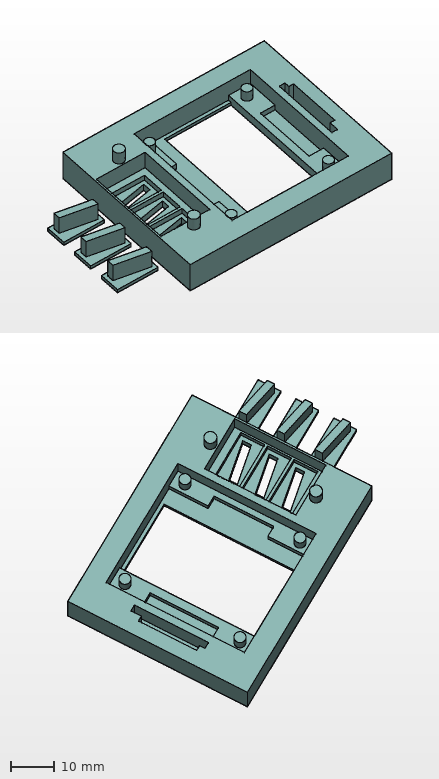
import cadquery as cq


OVERALL_DEPTH = 73.1

FRAME_WIDTH = 47.5
FRAME_DEPTH = 59.5
FRAME_HEIGHT = 8.5
PANEL_THICKNESS = 2.5

PIN_DIAMETER = 3.0
PIN_SPACING = 27.9
PIN_Y = 8.7
PIN_TOP = 12.0

DISPLAY_WIDTH = 36.55
DISPLAY_FRONT = 16.75
DISPLAY_REAR = 51.0
WINDOW_WIDTH = 34.65
WINDOW_FRONT = 25.0
WINDOW_BEVEL = 1.5
LEDGE_TOP = 4.0
FRONT_LEDGE_DEPTH = 4.3
REAR_LEDGE_DEPTH = 6.4
FRONT_NOTCH_WIDTH = 15.8
FRONT_NOTCH_DEPTH = 2.85
REAR_RECESS_WIDTH = 18.1
REAR_RECESS_DEPTH = 4.3

PEG_DIAMETER = 2.8
PEG_HEIGHT = 3.0
PEG_SPACING = 30.4
FRONT_PEG_Y = 18.85
REAR_PEG_Y = 47.6

CONNECTOR_WIDTH = 19.6
CONNECTOR_FRONT = 52.85
CONNECTOR_STEP = 54.5
CONNECTOR_REAR = 55.9
CONNECTOR_REAR_LEFT = -8.3
CONNECTOR_REAR_RIGHT = 7.0
CABLE_SLOT_WIDTH = 11.55
CABLE_SLOT_FRONT = 54.75
CABLE_SLOT_REAR = 55.7

KEY_COUNT = 3
KEY_MARGIN = 1.0
KEY_WIDTH = 6.0
KEY_LENGTH = 12.0
KEY_BASE_HEIGHT = 1.0
KEY_TOP = 6.0
BLADE_WIDTH = 2.0
KEY_SPACING = 10.0
KEY_ROW_X = 0.8
KEY_ROW_FRONT = FRAME_DEPTH - OVERALL_DEPTH

KEY_POCKET_X = 0.15
KEY_POCKET_WIDTH = 24.1
KEY_POCKET_FRONT = 0.5
KEY_POCKET_REAR = 14.9
KEY_CLEARANCE = 0.15
KEY_RECESS_SPACING = 7.0
KEY_RECESS_FRONT = 0.95
KEY_RECESS_FLOOR = 2.0
KEY_POCKET_FLOOR = 3.5


def block(x_middle, width, front, rear, bottom, top):
    """Box centred on x_middle, between the given Y and Z limits."""
    box = cq.Workplane("XY").box(width, rear - front, top - bottom, centered=(True, False, False))
    return box.translate((x_middle, front, bottom))


def posts(diameter, points, bottom, top):
    """Upright round posts at the given points."""
    base = cq.Workplane("XY").workplane(offset=bottom).pushPoints(points)
    return base.circle(diameter / 2).extrude(top - bottom)


def slanted_bar(x_middle, y_middle, width, span, length, slant, bottom, top):
    """Bar with a parallelogram outline; slant is +1 to lean right toward the rear, -1 to lean left."""
    half_span = slant * span / 2
    edge = slant * width
    outline = [
        (-half_span, -length / 2),
        (edge - half_span, -length / 2),
        (half_span, length / 2),
        (half_span - edge, length / 2),
    ]
    bar = cq.Workplane("XY").polyline(outline).close().extrude(top - bottom)
    return bar.translate((x_middle, y_middle, bottom))


def row_positions(middle, spacing):
    """X positions of a row with one place for each key."""
    return [middle + (i - (KEY_COUNT - 1) / 2) * spacing for i in range(KEY_COUNT)]


def window_flare(window_rear):
    """Tapered space that widens the window toward the underside."""
    width = WINDOW_WIDTH + 2 * WINDOW_BEVEL
    length = window_rear - WINDOW_FRONT + 2 * WINDOW_BEVEL
    flare = cq.Workplane("XY").rect(width, length).extrude(WINDOW_BEVEL, taper=45)
    return flare.translate((0, (WINDOW_FRONT + window_rear) / 2, 0))


def display_cutout():
    """Stepped pocket and window that leave the ledges standing."""
    front_ledge_rear = DISPLAY_FRONT + FRONT_LEDGE_DEPTH
    rear_ledge_front = DISPLAY_REAR - REAR_LEDGE_DEPTH
    notch_front = front_ledge_rear - FRONT_NOTCH_DEPTH
    recess_front = DISPLAY_REAR - REAR_RECESS_DEPTH

    pocket = block(0, DISPLAY_WIDTH, DISPLAY_FRONT, DISPLAY_REAR, LEDGE_TOP, FRAME_HEIGHT)
    floor = block(0, DISPLAY_WIDTH, front_ledge_rear, rear_ledge_front, PANEL_THICKNESS, LEDGE_TOP)
    window = block(0, WINDOW_WIDTH, WINDOW_FRONT, rear_ledge_front, 0, LEDGE_TOP)
    flare = window_flare(rear_ledge_front)
    notch = block(0, FRONT_NOTCH_WIDTH, notch_front, front_ledge_rear, PANEL_THICKNESS, LEDGE_TOP)
    recess = block(0, REAR_RECESS_WIDTH, recess_front, DISPLAY_REAR, PANEL_THICKNESS, LEDGE_TOP)
    return pocket.union(floor).union(window).union(flare).union(notch).union(recess)


def connector_cutout():
    """Two-step slot with a narrow opening through its floor."""
    rear_middle = (CONNECTOR_REAR_LEFT + CONNECTOR_REAR_RIGHT) / 2
    rear_width = CONNECTOR_REAR_RIGHT - CONNECTOR_REAR_LEFT
    wide = block(0, CONNECTOR_WIDTH, CONNECTOR_FRONT, CONNECTOR_STEP, PANEL_THICKNESS, FRAME_HEIGHT)
    narrow = block(rear_middle, rear_width, CONNECTOR_FRONT, CONNECTOR_REAR, PANEL_THICKNESS, FRAME_HEIGHT)
    opening = block(0, CABLE_SLOT_WIDTH, CABLE_SLOT_FRONT, CABLE_SLOT_REAR, 0, FRAME_HEIGHT)
    return wide.union(narrow).union(opening)


def key_cutout():
    """Key pocket with the key recesses and their through slots."""
    recess_width = KEY_WIDTH + 2 * KEY_CLEARANCE
    recess_length = KEY_LENGTH + 2 * KEY_CLEARANCE
    recess_rear = KEY_RECESS_FRONT + recess_length
    recess_y = KEY_RECESS_FRONT + recess_length / 2
    slot_width = BLADE_WIDTH + 2 * KEY_CLEARANCE
    slot_span = recess_width - 2 * KEY_MARGIN
    slot_length = recess_length - 2 * KEY_MARGIN

    cutout = block(
        KEY_POCKET_X, KEY_POCKET_WIDTH, KEY_POCKET_FRONT, KEY_POCKET_REAR, KEY_POCKET_FLOOR, FRAME_HEIGHT
    )
    for x in row_positions(KEY_POCKET_X, KEY_RECESS_SPACING):
        recess = block(x, recess_width, KEY_RECESS_FRONT, recess_rear, KEY_RECESS_FLOOR, KEY_POCKET_FLOOR)
        slot = slanted_bar(x, recess_y, slot_width, slot_span, slot_length, -1, 0, KEY_RECESS_FLOOR)
        cutout = cutout.union(recess).union(slot)
    return cutout


def make_frame():
    """Frame with its cutouts, ledge pegs and top pins."""
    pin_points = [(KEY_POCKET_X + side * PIN_SPACING / 2, PIN_Y) for side in (-1, 1)]
    peg_points = [(side * PEG_SPACING / 2, y) for side in (-1, 1) for y in (FRONT_PEG_Y, REAR_PEG_Y)]

    frame = block(0, FRAME_WIDTH, 0, FRAME_DEPTH, 0, FRAME_HEIGHT)
    frame = frame.cut(display_cutout()).cut(connector_cutout()).cut(key_cutout())
    frame = frame.union(posts(PEG_DIAMETER, peg_points, LEDGE_TOP, LEDGE_TOP + PEG_HEIGHT))
    return frame.union(posts(PIN_DIAMETER, pin_points, FRAME_HEIGHT, PIN_TOP))


def make_key(x):
    """Key centred on x, in the row in front of the frame."""
    rear = KEY_ROW_FRONT + KEY_LENGTH
    y_middle = KEY_ROW_FRONT + KEY_LENGTH / 2
    blade_span = KEY_WIDTH - 2 * KEY_MARGIN
    blade_length = KEY_LENGTH - 2 * KEY_MARGIN
    base = block(x, KEY_WIDTH, KEY_ROW_FRONT, rear, 0, KEY_BASE_HEIGHT)
    blade = slanted_bar(x, y_middle, BLADE_WIDTH, blade_span, blade_length, 1, KEY_BASE_HEIGHT, KEY_TOP)
    return base.union(blade)


frame = make_frame()
keys = [make_key(x) for x in row_positions(KEY_ROW_X, KEY_SPACING)]

result = cq.Compound.makeCompound([frame.val(), *[key.val() for key in keys]])